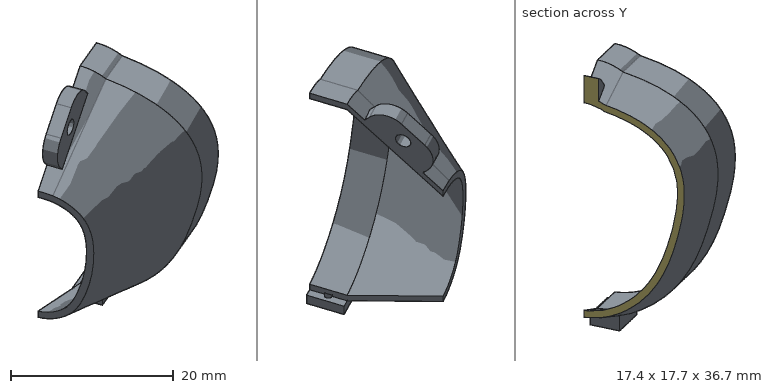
import cadquery as cq
import math

wall = 1.0
rim_length = 5.0
taper_length = 12.73

rim_crown_z = 36.68
rim_curve = [
    (3.5, 35.75), (7.95, 34.8), (11.25, 33.38), (13.95, 31.3), (15.92, 27.88), (16.4, 24.75),
    (15.25, 17.65), (13.28, 12.0), (11.25, 8.5), (7.95, 5.0), (3.95, 2.5), (0, 1.5),
]
nose_crown_z = 26.25
nose_curve = [
    (1.98, 26.15), (4.18, 25.42), (6.2, 23.77), (7.2, 21.55), (7.5, 18.6),
    (7.08, 14.7), (6.2, 11.63), (4.65, 8.75), (2.3, 6.97), (0, 6.42),
]
inset_samples = 14

ear_thickness = 2.0
ear_length = 10.0
ear_height = 4.05
ear_corner_radius = 3.0
ear_hole_diameter = 2.0
ear_hole_height = 1.95
ear_start = 3.0
ear_root = 0.55

foot_left = -1.0
foot_right = 3.0
foot_hole_diameter = 1.0
foot_hole_top = 1.72
foot_top = 2.4


def inset_curve(points):
    """Points of a curve lying one wall thickness inside the spline through the given points."""
    spline = cq.Edge.makeSpline([cq.Vector(x, 0, z) for x, z in points])
    inset = []
    for i in range(inset_samples):
        fraction = i / (inset_samples - 1)
        place = spline.positionAt(fraction)
        direction = spline.tangentAt(fraction)
        inset.append((place.x + wall * direction.z, place.z - wall * direction.x))
    inset[-1] = (0, points[-1][1] + wall)
    return inset


def opening(crown_z, points, y):
    """Closed outline at the given Y: level crown arc, side curve and the straight cut side."""
    edge_x, edge_z = points[0]
    drop = crown_z - edge_z
    radius = (edge_x**2 + drop**2) / (2 * drop)
    mid_x = edge_x / 2
    mid_z = crown_z - radius + math.sqrt(radius**2 - mid_x**2)
    outline = (
        cq.Workplane("XZ", origin=(0, y, 0))
        .moveTo(0, crown_z)
        .threePointArc((mid_x, mid_z), points[0])
        .spline(points[1:], includeCurrent=True)
        .close()
    )
    return outline.val()


def hood(rim_crown, rim_points, nose_crown, nose_points):
    """Solid filling the straight rim and the taper in front of it."""
    rim_back = opening(rim_crown, rim_points, rim_length)
    joint = opening(rim_crown, rim_points, 0)
    nose = opening(nose_crown, nose_points, -taper_length)
    rim = cq.Solid.makeLoft([rim_back, joint], True)
    taper = cq.Solid.makeLoft([joint, nose], True)
    return cq.Workplane(rim).union(cq.Workplane(taper))


def make_shell():
    outside = hood(rim_crown_z, rim_curve, nose_crown_z, nose_curve)
    inside = hood(
        rim_crown_z - wall, inset_curve(rim_curve),
        nose_crown_z - wall, inset_curve(nose_curve),
    )
    return outside.cut(inside)


def make_ear():
    """Plate standing on the crown line; local x runs down the slope and local y away from it."""
    fall = rim_crown_z - nose_crown_z
    slope_plane = cq.Plane(
        origin=(0, 0, rim_crown_z), xDir=(0, -taper_length, -fall), normal=(-1, 0, 0)
    )
    ear_middle = ear_start + ear_length / 2
    plate = (
        cq.Workplane(slope_plane)
        .center(ear_middle, (ear_height - ear_root) / 2)
        .rect(ear_length, ear_height + ear_root)
        .extrude(-ear_thickness)
        .edges("|X")
        .edges(">Z or <Y")
        .fillet(ear_corner_radius)
    )
    hole = (
        cq.Workplane(slope_plane)
        .center(ear_middle, ear_hole_height)
        .circle(ear_hole_diameter / 2)
        .extrude(-ear_thickness)
    )
    return plate.cut(hole)


def make_foot():
    """Block whose top follows the rim: level with the rim's bottom outside the hood."""
    rim_bottom = rim_curve[-1][1]
    ledge = cq.Workplane("XY").box(-foot_left, rim_length, rim_bottom, centered=False)
    ledge = ledge.translate((foot_left, 0, 0))
    under_rim = cq.Workplane("XY").box(foot_right, rim_length, foot_top, centered=False)
    return ledge.union(under_rim)


foot_hole = (
    cq.Workplane("XY")
    .center(0, rim_length / 2)
    .circle(foot_hole_diameter / 2)
    .extrude(foot_hole_top)
)

result = make_shell().union(make_ear()).union(make_foot()).cut(foot_hole)